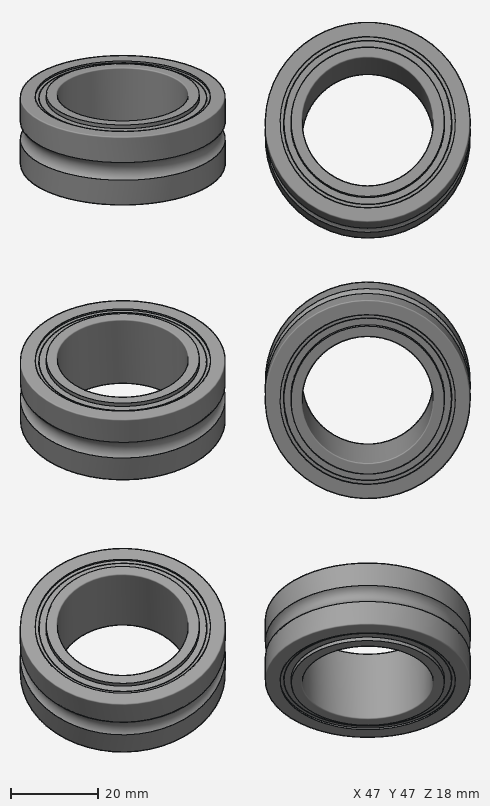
import cadquery as cq

outer_radius = 23.5
inner_ring_height = 18.0
inner_ring_radius = 17.55
bore_radius = 15.0
inner_ring_step = 0.45
edge_round = 0.3

groove_width = 4.4
groove_depth = 1.18

counterbore_radius = 20.05
retainer_inner_radius = 19.25
ring_recess = 0.4
end_ring_thickness = 1.4
seal_gap = 0.1

outer_ring_height = inner_ring_height - 2 * inner_ring_step
end_ring_top = outer_ring_height / 2 - ring_recess
end_ring_bottom = end_ring_top - end_ring_thickness
counterbore_depth = ring_recess + end_ring_thickness
seal_outer_radius = retainer_inner_radius - seal_gap
seal_inner_radius = inner_ring_radius + seal_gap
groove_half_width = groove_width / 2
groove_arc_radius = (groove_half_width**2 + groove_depth**2) / (2 * groove_depth)


def make_ring(radius, hole_radius, bottom, height):
    """A plain ring about Z, standing on the level `bottom`."""
    return cq.Workplane("XY").workplane(offset=bottom).circle(radius).circle(hole_radius).extrude(height)


def make_groove_cutter():
    """A torus whose tube cuts the arc-shaped groove around the outer ring."""
    tube_centre_radius = outer_radius - groove_depth + groove_arc_radius
    return cq.Workplane("XY").add(cq.Solid.makeTorus(tube_centre_radius, groove_arc_radius))


def make_outer_ring():
    """Grooved outer ring with a counterbore at each end for the retainers."""
    half_height = outer_ring_height / 2
    ring = make_ring(outer_radius, retainer_inner_radius, -half_height, outer_ring_height)
    ring = ring.faces("<Z or >Z").edges(cq.selectors.RadiusNthSelector(-1)).fillet(edge_round)
    for bottom in (-half_height, half_height - counterbore_depth):
        ring = ring.cut(make_ring(counterbore_radius, retainer_inner_radius, bottom, counterbore_depth))
    return ring.cut(make_groove_cutter())


def make_inner_ring():
    """Plain inner ring with rounded bore edges."""
    ring = make_ring(inner_ring_radius, bore_radius, -inner_ring_height / 2, inner_ring_height)
    return ring.faces("<Z or >Z").edges(cq.selectors.RadiusNthSelector(0)).fillet(edge_round)


def make_retainer(bottom):
    """Retaining ring seated in a counterbore of the outer ring."""
    return make_ring(counterbore_radius, retainer_inner_radius, bottom, end_ring_thickness)


def make_seal(bottom):
    """Seal ring standing clear of the retainer and the inner ring."""
    return make_ring(seal_outer_radius, seal_inner_radius, bottom, end_ring_thickness)


outer_ring = make_outer_ring()
inner_ring = make_inner_ring()

retainers = []
seals = []
for end_bottom in (-end_ring_top, end_ring_bottom):
    retainers.append(make_retainer(end_bottom).val())
    seals.append(make_seal(end_bottom).val())

result = cq.Compound.makeCompound([outer_ring.solids().val(), inner_ring.solids().val(), *retainers, *seals])